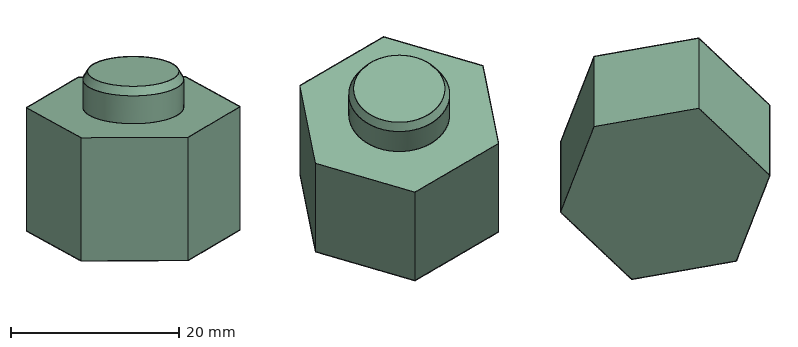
import math
import cadquery as cq

hex_sides = 6
across_flats = 22.0
total_height = 20.0
hex_height = 15.5
pin_diameter = 12.0
chamfer_height = 1.0
chamfer_angle = math.radians(30)

across_corners = across_flats / math.cos(math.pi / hex_sides)
pin_radius = pin_diameter / 2
chamfer_base = total_height - chamfer_height
tip_radius = pin_radius - chamfer_height * math.tan(chamfer_angle)


def hex_body():
    """Hexagonal prism standing on Z = 0, with two corners on the Y axis."""
    prism = cq.Workplane("XY").polygon(hex_sides, across_corners).extrude(hex_height)
    return prism.rotate((0, 0, 0), (0, 0, 1), 90)


def pin():
    """Round pin on top of the hexagon, with a steep chamfer at its tip."""
    half_profile = (
        cq.Workplane("XZ")
        .moveTo(0, hex_height)
        .lineTo(pin_radius, hex_height)
        .lineTo(pin_radius, chamfer_base)
        .lineTo(tip_radius, total_height)
        .lineTo(0, total_height)
        .close()
    )
    return half_profile.revolve(360, (0, 0, 0), (0, 1, 0))


result = hex_body().union(pin())